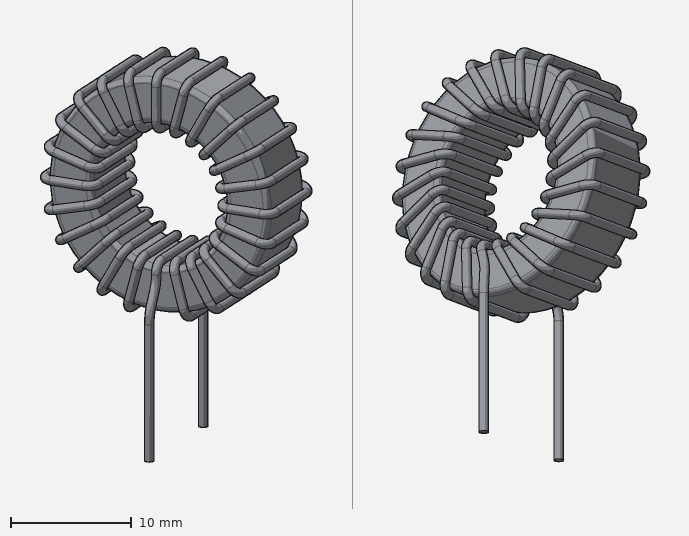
import cadquery as cq
import math

CORE_OUTER_RADIUS = 20.4 / 2
CORE_BORE_RADIUS = 12.4 / 2
CORE_WIDTH = 6.6
CORE_EDGE_FILLET = 0.5

WIRE_RADIUS = 0.8 / 2
WIRE_CLEARANCE = 0.01
TURN_POSITIONS = 24
TURN_PITCH = 360 / TURN_POSITIONS
FIRST_TURN_ANGLE = -90

LEAD_OFFSET = 5.0
LEAD_LENGTH = 12.0
LEAD_END_Z = -22.65

STANDOFF = WIRE_RADIUS + WIRE_CLEARANCE
OUTER_PASS_RADIUS = CORE_OUTER_RADIUS + STANDOFF
INNER_PASS_RADIUS = CORE_BORE_RADIUS - STANDOFF
FACE_PASS_Y = CORE_WIDTH / 2 + STANDOFF
BEND_RADIUS = CORE_EDGE_FILLET + STANDOFF
LEAD_TOP_Z = LEAD_END_Z + LEAD_LENGTH

DOWN = cq.Vector(0, 0, -1)


def make_core():
    back_face = cq.Workplane("XZ", origin=(0, CORE_WIDTH / 2, 0))
    ring = back_face.circle(CORE_OUTER_RADIUS).circle(CORE_BORE_RADIUS)
    return ring.extrude(CORE_WIDTH).edges("%CIRCLE").fillet(CORE_EDGE_FILLET)


def wire_corner(radius, turn, y):
    """Sharp corner of the wire at a turn position; turns advance clockwise as seen from -Y."""
    angle = math.radians(FIRST_TURN_ANGLE - turn * TURN_PITCH)
    return cq.Vector(radius * math.cos(angle), y, radius * math.sin(angle))


def winding_corners():
    """Corners from the front lead round every turn to the back lead."""
    corners = [wire_corner(OUTER_PASS_RADIUS, 0, -FACE_PASS_Y)]
    for turn in range(TURN_POSITIONS):
        corners.append(wire_corner(INNER_PASS_RADIUS, turn, -FACE_PASS_Y))
        corners.append(wire_corner(INNER_PASS_RADIUS, turn, FACE_PASS_Y))
        corners.append(wire_corner(OUTER_PASS_RADIUS, turn + 1, FACE_PASS_Y))
        if turn < TURN_POSITIONS - 1:
            corners.append(wire_corner(OUTER_PASS_RADIUS, turn + 1, -FACE_PASS_Y))
    return corners


def bend_edge(before, corner, after):
    """Quarter-circle bend that rounds a square corner."""
    to_before = (before - corner).normalized()
    to_after = (after - corner).normalized()
    start = corner + to_before * BEND_RADIUS
    end = corner + to_after * BEND_RADIUS
    centre = start + to_after * BEND_RADIUS
    middle = centre - (to_before + to_after).normalized() * BEND_RADIUS
    return cq.Edge.makeThreePointArc(start, middle, end)


def lead_edges(attach_point, attach_direction, y):
    """S-shaped offset from the winding and the straight lead, running down to its end."""
    lead_top = cq.Vector(0, y, LEAD_TOP_Z)
    lead_end = cq.Vector(0, y, LEAD_END_Z)
    offset = cq.Edge.makeSpline([attach_point, lead_top], tangents=[attach_direction, DOWN])
    return [offset, cq.Edge.makeLine(lead_top, lead_end)]


def make_winding():
    corners = winding_corners()
    bends = [bend_edge(*corners[i - 1:i + 2]) for i in range(1, len(corners) - 1)]

    edges = [bends[0]]
    for previous, following in zip(bends, bends[1:]):
        edges.append(cq.Edge.makeLine(previous.endPoint(), following.startPoint()))
        edges.append(following)

    front_start = bends[0].startPoint()
    back_start = bends[-1].endPoint()
    front_direction = (corners[0] - corners[1]).normalized()
    back_direction = (corners[-1] - corners[-2]).normalized()
    edges += lead_edges(front_start, front_direction, -LEAD_OFFSET)
    edges += lead_edges(back_start, back_direction, LEAD_OFFSET)

    path = cq.Wire.combine(edges)[0]
    front_lead_end = cq.Workplane("XY", origin=(0, -LEAD_OFFSET, LEAD_END_Z))
    return front_lead_end.circle(WIRE_RADIUS).sweep(cq.Workplane(path))


core = make_core()
winding = make_winding()
result = cq.Compound.makeCompound([core.val(), winding.val()])